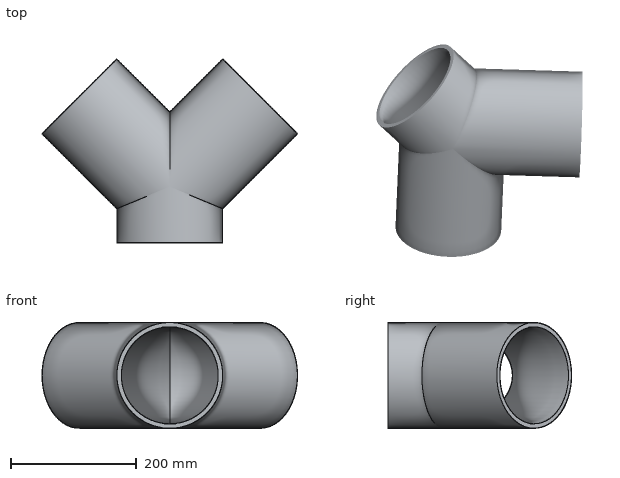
import cadquery as cq
import math

outer_diameter = 168.2
inner_diameter = 154.0
overall_width = 406.5
overall_depth = 292.0
branch_tilt = 45.0

right_angle = 90.0 - branch_tilt
left_angle = 90.0 + branch_tilt
stem_angle = 270.0

stem_left_mitre = (left_angle + stem_angle) / 2
stem_right_mitre = (stem_angle + right_angle + 360.0) / 2
branch_mitre = (right_angle + left_angle) / 2

tilt = math.radians(branch_tilt)
outer_radius = outer_diameter / 2
branch_length = (overall_width / 2 - outer_radius * math.cos(tilt)) / math.sin(tilt)
branch_reach_y = branch_length * math.cos(tilt) + outer_radius * math.sin(tilt)
stem_length = overall_depth - branch_reach_y

sector_reach = 3 * overall_width

pipes = [
    (right_angle, branch_length, stem_right_mitre - 360.0, branch_mitre),
    (left_angle, branch_length, branch_mitre, stem_left_mitre),
    (stem_angle, stem_length, stem_left_mitre, stem_right_mitre),
]


def polar_point(angle, distance):
    radians = math.radians(angle)
    return (distance * math.cos(radians), distance * math.sin(radians))


def mitred_cylinder(diameter, angle, length, first_mitre, last_mitre):
    """Cylinder along the given direction, trimmed by its two mitre planes."""
    overlap = outer_diameter
    cylinder = (
        cq.Workplane("YZ")
        .workplane(offset=-overlap)
        .circle(diameter / 2)
        .extrude(length + overlap)
        .rotate((0, 0, 0), (0, 0, 1), angle)
    )
    sector = (
        cq.Workplane("XY")
        .moveTo(0, 0)
        .lineTo(*polar_point(first_mitre, sector_reach))
        .lineTo(*polar_point(last_mitre, sector_reach))
        .close()
        .extrude(outer_diameter, both=True)
    )
    return cylinder.intersect(sector)


def wye(diameter):
    """Three mitred cylinders joined at the junction."""
    body = cq.Workplane("XY")
    for pipe in pipes:
        body = body.add(mitred_cylinder(diameter, *pipe))
    return body.combine()


result = wye(outer_diameter).cut(wye(inner_diameter))